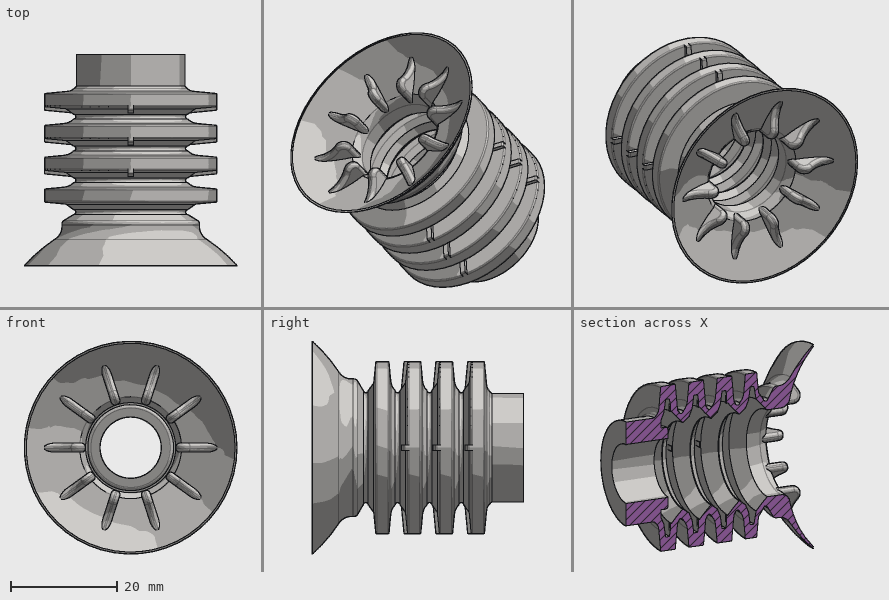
import cadquery as cq
import math


QUARTER_TURN = math.pi / 2

length = 39.91
lip_radius = 20.07
convolutions = 4
pitch = 6.0
bead = 0.25

fitting_radius = 20.5 / 2
fitting_depth = 6.0
fitting_flare = 0.4
bore_radius = 11.5 / 2
plug_radius = 8.1
plug_edge = 0.6
plug_depth = 9.0

flange_radius = 32.5 / 2
flange_top = 7.35
flange_bottom = 9.9
face_angle = math.radians(5.5)
face_slope = math.tan(face_angle)
neck_angle = math.radians(45)
web_radius = 12.2
neck_radius = 10.37
neck_depth = 11.75
neck_half_width = 0.45
neck_edge_radius = 10.78

throat_radius = 17.0 / 2
pocket_radius = 13.5
pocket_knee_radius = 11.0
pocket_entry_radius = 9.5
pocket_entry = 1.75
pocket_knee = 2.4
pocket_tip_top = 2.75
pocket_tip_bottom = 3.45
pocket_lower_knee = 3.9
pocket_exit = 6.3

collar_radius = 26.0 / 2
collar_top = 32.05
collar_cone_radius = 12.6
collar_cone_end = 31.3
collar_turn = math.radians(59)
flare_start = 32.3
flare_radius = 14.4
flare_depth = 34.9
flare_mid_radius = 13.3
flare_mid_depth = 33.75
skirt_mid_radius = 16.95
skirt_mid_depth = 36.8
lip_edge = 0.1
lip_inner_radius = 19.68
inside_mid_radius = 15.0
inside_mid_depth = 36.65
mouth_radius = 9.6
mouth_depth = 34.8
throat_end = 32.95
mouth_mid_radius = 8.8
mouth_mid_depth = 34.05

lug_width = 1.0
lug_count = 4
lug_height = 0.68
lug_root_radius = 11.0

fin_count = 10
fin_thickness = 1.7
fin_rounding = 0.7
fin_inner_radius = 8.55
fin_nose_depth = 36.9
fin_crest_radius = 11.2
fin_crest_depth = 38.2
fin_tip_radius = 16.4
fin_tip_depth = 37.4
fin_root_radius = 9.3
fin_root_depth = 33.3


def at(radius, depth):
    """Point of the half section."""
    return (radius, -depth)


def arc_to(section, start, end, turn):
    """Add an arc from start to end, both (radius, depth), that turns by the given angle.

    The angle is positive where the arc bulges outwards on the way down the outside.
    """
    radius_step = end[0] - start[0]
    depth_step = end[1] - start[1]
    sag_ratio = math.tan(turn / 4) / 2
    middle = at(
        (start[0] + end[0]) / 2 + sag_ratio * depth_step,
        (start[1] + end[1]) / 2 - sag_ratio * radius_step,
    )
    return section.threePointArc(middle, at(*end))


def add_flange(section, shift):
    """Flange from its upper face to the edge of the neck below."""
    inner = flange_radius - bead
    top = flange_top + shift
    bottom = flange_bottom + shift
    neck_start = neck_depth - neck_half_width + shift
    section = section.lineTo(*at(inner, top))
    section = arc_to(section, (inner, top), (flange_radius, top + bead), QUARTER_TURN)
    section = section.lineTo(*at(flange_radius, bottom - bead))
    section = arc_to(section, (flange_radius, bottom - bead), (inner, bottom), QUARTER_TURN)
    return (
        section.lineTo(*at(web_radius, bottom + (inner - web_radius) * face_slope))
        .lineTo(*at(neck_edge_radius, neck_start))
        .threePointArc(at(neck_radius, neck_depth + shift), at(neck_edge_radius, neck_start + 2 * neck_half_width))
    )


def add_shoulder(section, start, shift):
    """Hollow round from a neck into the upper face of a flange, tangent at both ends."""
    face_depth = flange_top - (flange_radius - bead - start[0]) * face_slope + shift
    chord_slope = math.tan((neck_angle + face_angle) / 2)
    radius_step = (face_depth - start[1]) / (chord_slope - face_slope)
    end = (start[0] + radius_step, start[1] + radius_step * chord_slope)
    return arc_to(section, start, end, face_angle - neck_angle)


def add_pocket(section, index):
    """Inner pocket of one convolution, drawn from its lower throat back to the neck above."""
    neck_above = neck_depth + (index - 1) * pitch
    return (
        section.lineTo(*at(throat_radius, neck_above + pocket_exit))
        .lineTo(*at(pocket_knee_radius, neck_above + pocket_lower_knee))
        .lineTo(*at(pocket_radius, neck_above + pocket_tip_bottom))
        .lineTo(*at(pocket_radius, neck_above + pocket_tip_top))
        .lineTo(*at(pocket_knee_radius, neck_above + pocket_knee))
        .lineTo(*at(pocket_entry_radius, neck_above + pocket_entry))
    )


def make_body():
    flare_end = (fitting_radius + fitting_flare, fitting_depth + fitting_flare)
    section = cq.Workplane("XY").moveTo(*at(bore_radius, 0)).lineTo(*at(fitting_radius, 0))
    section = section.lineTo(*at(fitting_radius, fitting_depth)).lineTo(*at(*flare_end))
    section = add_shoulder(section, flare_end, 0)
    for index in range(convolutions):
        shift = index * pitch
        section = add_flange(section, shift)
        if index < convolutions - 1:
            neck_end = neck_depth + neck_half_width + shift
            section = add_shoulder(section, (neck_edge_radius, neck_end), shift + pitch)

    collar_start = (collar_cone_radius, collar_cone_end)
    section = section.lineTo(*at(*collar_start))
    section = arc_to(section, collar_start, (collar_radius, collar_top), collar_turn)
    section = (
        section.lineTo(*at(collar_radius, flare_start))
        .threePointArc(at(flare_mid_radius, flare_mid_depth), at(flare_radius, flare_depth))
        .threePointArc(at(skirt_mid_radius, skirt_mid_depth), at(lip_radius, length - lip_edge))
        .lineTo(*at(lip_radius, length))
    )

    section = (
        section.lineTo(*at(lip_inner_radius, length))
        .threePointArc(at(inside_mid_radius, inside_mid_depth), at(mouth_radius, mouth_depth))
        .threePointArc(at(mouth_mid_radius, mouth_mid_depth), at(throat_radius, throat_end))
    )
    for index in reversed(range(convolutions)):
        section = add_pocket(section, index)
        if index > 0:
            section = section.lineTo(*at(throat_radius, neck_depth + (index - 1) * pitch + neck_half_width))
    plug_wall_end = (plug_radius, plug_depth - plug_edge)
    section = section.lineTo(*at(plug_radius, neck_depth - pitch + pocket_entry)).lineTo(*at(*plug_wall_end))
    section = arc_to(section, plug_wall_end, (plug_radius - plug_edge, plug_depth), QUARTER_TURN)
    section = section.lineTo(*at(bore_radius, plug_depth)).close()
    return section.revolve(360, (0, 0, 0), (0, 1, 0))


def make_lugs(shift):
    """Radial lugs below one flange, cut from a full ring so that they keep its round rim."""
    inner = flange_radius - bead
    top = flange_bottom - 2 * bead + shift
    bottom = flange_bottom + lug_height + shift
    rim_end = (flange_radius, bottom - bead)
    ring = cq.Workplane("XY").moveTo(*at(lug_root_radius, top)).lineTo(*at(flange_radius, top))
    ring = ring.lineTo(*at(*rim_end))
    ring = arc_to(ring, rim_end, (inner, bottom), QUARTER_TURN)
    ring = ring.lineTo(*at(lug_root_radius, bottom + (inner - lug_root_radius) * face_slope)).close()
    ring = ring.revolve(360, (0, 0, 0), (0, 1, 0))
    bar = cq.Workplane("XY").box(2 * lip_radius, 2 * length, lug_width)
    cross = bar
    for index in range(1, lug_count // 2):
        cross = cross.union(bar.rotate((0, 0, 0), (0, 1, 0), index * 360 / lug_count))
    return ring.intersect(cross)


def make_fin():
    """Fin pointing along +X, with a rounded crest."""
    fin = (
        cq.Workplane("XY")
        .moveTo(*at(fin_root_radius, fin_root_depth))
        .lineTo(*at(fin_inner_radius, fin_root_depth))
        .lineTo(*at(fin_inner_radius, fin_nose_depth))
        .tangentArcPoint(at(fin_crest_radius, fin_crest_depth), relative=False)
        .tangentArcPoint(at(fin_tip_radius, fin_tip_depth), relative=False)
        .close()
        .extrude(fin_thickness / 2, both=True)
    )
    return fin.edges("|Y or %CIRCLE").fillet(fin_rounding)


body = make_body()
for flange in range(convolutions - 1):
    body = body.union(make_lugs(flange * pitch))

fin = make_fin()
for index in range(fin_count):
    body = body.union(fin.rotate((0, 0, 0), (0, 1, 0), index * 360 / fin_count))

result = body